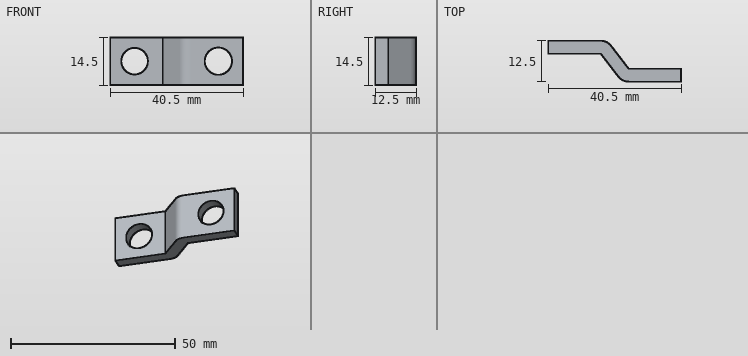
import cadquery as cq
import math

length = 40.5
depth = 12.5
height = 14.5
thickness = 4.0

tab_length = 16.0

left_hole_diameter = 8.0
right_hole_diameter = 8.22
left_hole_inset = 7.45
right_hole_inset = 7.57

left_corner = (tab_length, depth - thickness)
right_corner = (length - tab_length, thickness)

corner_run = right_corner[0] - left_corner[0]
corner_drop = left_corner[1] - right_corner[1]
corner_distance = math.hypot(corner_run, corner_drop)
web_angle = math.atan2(corner_drop, corner_run) + math.asin(thickness / corner_distance)


def outer_bend_point(corner, turn, side):
    """Point on the bend arc, turned from +Y (side 1) or -Y (side -1)."""
    return (
        corner[0] + side * thickness * math.sin(turn),
        corner[1] + side * thickness * math.cos(turn),
    )


def make_strip():
    """Z-bent strip, extruded along its height."""
    return (
        cq.Workplane("XY")
        .moveTo(0, left_corner[1])
        .lineTo(*left_corner)
        .lineTo(*outer_bend_point(right_corner, web_angle, -1))
        .threePointArc(
            outer_bend_point(right_corner, web_angle / 2, -1),
            outer_bend_point(right_corner, 0, -1),
        )
        .lineTo(length, 0)
        .lineTo(length, thickness)
        .lineTo(*right_corner)
        .lineTo(*outer_bend_point(left_corner, web_angle, 1))
        .threePointArc(
            outer_bend_point(left_corner, web_angle / 2, 1),
            outer_bend_point(left_corner, 0, 1),
        )
        .lineTo(0, depth)
        .close()
        .extrude(height)
    )


def make_hole(x, diameter):
    """Cylinder along Y that passes through the full depth of the part."""
    return (
        cq.Workplane("XZ")
        .center(x, height / 2)
        .circle(diameter / 2)
        .extrude(-depth)
    )


result = (
    make_strip()
    .cut(make_hole(left_hole_inset, left_hole_diameter))
    .cut(make_hole(length - right_hole_inset, right_hole_diameter))
)